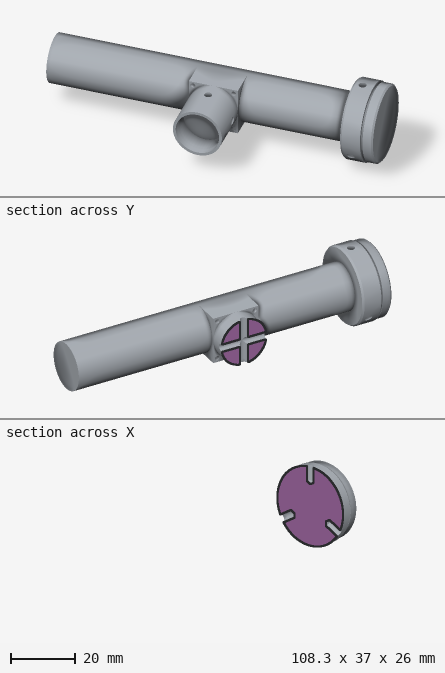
import cadquery as cq
import math

overall_length = 108.3
rod_diameter = 16.0

flange_width = 10.6
flange_start = overall_length - flange_width
flange_radius = 13.0
rim_radius = 12.7
groove_radius = 12.0
groove_offset = 6.6
groove_start = flange_start + groove_offset
groove_width = 0.8
groove_end = groove_start + groove_width
flange_chamfer_length = 0.6
flange_chamfer_height = 0.4
rim_chamfer = 0.5

drill_point_angle = 118

screw_hole_diameter = 2.5
screw_hole_depth = flange_radius - rod_diameter / 2
screw_hole_offset = 3.0
screw_hole_x = flange_start + screw_hole_offset
screw_hole_count = 3

branch_x = 55.0
block_side = rod_diameter
block_reach = 9.0
branch_reach = 24.0
socket_length = branch_reach - block_reach
socket_diameter = block_side
socket_bore_diameter = 14.2
socket_bore_depth = 7.5
cross_hole_diameter = 2.5
cross_hole_offset = 5.0

corner_hole_diameter = 1.5
corner_hole_spacing = 13.3
corner_hole_depth = 5.0


def make_rod():
    return cq.Workplane("YZ").circle(rod_diameter / 2).extrude(flange_start)


def make_flange():
    """Grooved disc, revolved about X from its half section."""
    section = [
        (flange_start, 0),
        (flange_start, flange_radius - flange_chamfer_height),
        (flange_start + flange_chamfer_length, flange_radius),
        (groove_start, flange_radius),
        (groove_start, groove_radius),
        (groove_end, groove_radius),
        (groove_end, rim_radius),
        (overall_length - rim_chamfer, rim_radius),
        (overall_length, rim_radius - rim_chamfer),
        (overall_length, 0),
    ]
    return cq.Workplane("XY").polyline(section).close().revolve(360, (0, 0, 0), (1, 0, 0))


def branch_plane(reach):
    """Plane facing -Y, centred on the branch axis at the given distance from the rod axis."""
    return cq.Workplane("XZ", origin=(branch_x, -reach, 0))


def make_branch():
    block = branch_plane(0).rect(block_side, block_side).extrude(block_reach)
    socket = branch_plane(block_reach).circle(socket_diameter / 2).extrude(socket_length)
    return block.union(socket)


def cut_socket_bore(body):
    bore = branch_plane(branch_reach).circle(socket_bore_diameter / 2).extrude(-socket_bore_depth)
    return body.cut(bore)


def cut_cross_holes(body):
    """Two perpendicular holes right through the socket, behind its bore, along X and along Z."""
    center = cq.Vector(branch_x, -block_reach - cross_hole_offset, 0)
    for direction in (cq.Vector(1, 0, 0), cq.Vector(0, 0, 1)):
        start = center - direction * (socket_diameter / 2)
        hole = cq.Solid.makeCylinder(cross_hole_diameter / 2, socket_diameter, start, direction)
        body = body.cut(cq.Workplane(hole))
    return body


def make_drilled_hole(mouth, inward, diameter, depth):
    """Blind hole from a mouth point: a full-diameter stretch ending in a conical point."""
    radius = diameter / 2
    point_length = radius / math.tan(math.radians(drill_point_angle / 2))
    barrel = cq.Solid.makeCylinder(radius, depth, mouth, inward)
    point = cq.Solid.makeCone(radius, 0, point_length, mouth + inward * depth, inward)
    return cq.Workplane(barrel).union(cq.Workplane(point))


def cut_corner_holes(body):
    half_spacing = corner_hole_spacing / 2
    inward = cq.Vector(0, 1, 0)
    for side_x in (-1, 1):
        for side_z in (-1, 1):
            mouth = cq.Vector(branch_x + side_x * half_spacing, -block_reach, side_z * half_spacing)
            body = body.cut(make_drilled_hole(mouth, inward, corner_hole_diameter, corner_hole_depth))
    return body


def cut_flange_holes(body):
    """Evenly spaced radial holes, the first one on top."""
    for index in range(screw_hole_count):
        angle = math.pi / 2 + index * 2 * math.pi / screw_hole_count
        outward = cq.Vector(0, math.cos(angle), math.sin(angle))
        mouth = cq.Vector(screw_hole_x, 0, 0) + outward * flange_radius
        body = body.cut(make_drilled_hole(mouth, outward * -1, screw_hole_diameter, screw_hole_depth))
    return body


result = make_rod().union(make_flange()).union(make_branch())
result = cut_socket_bore(result)
result = cut_cross_holes(result)
result = cut_corner_holes(result)
result = cut_flange_holes(result)